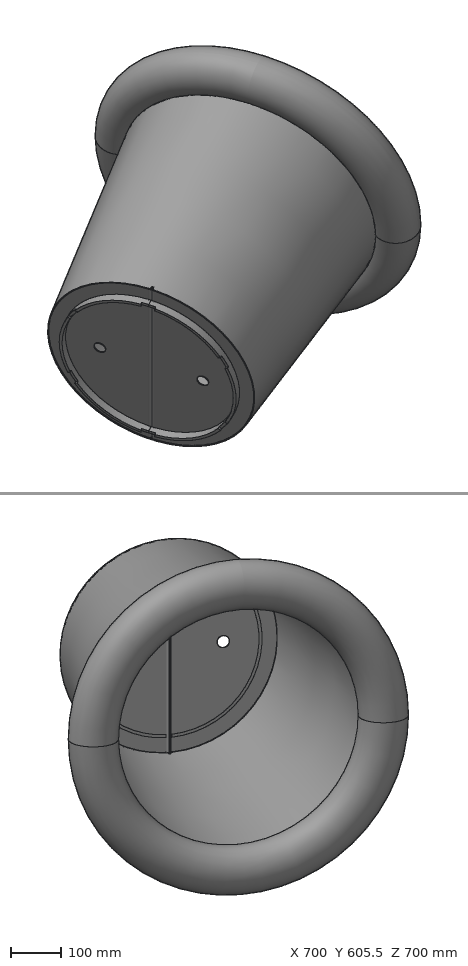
import cadquery as cq
import math

overall_diameter = 700.0
overall_length = 605.5

rim_tube_radius = 50.5
rim_ring_radius = overall_diameter / 2 - rim_tube_radius
rim_center_y = overall_length - rim_tube_radius

foot_height = 17.5
foot_outer_radius = 192.5
foot_thickness = 6.0
foot_inner_radius = foot_outer_radius - foot_thickness
notch_count = 6
notch_width = 30.0
notch_depth = 5.0

sheet = 2.0
base_radius = 225.5
mouth_radius = 280.0
floor_y = foot_height

bend_radius = 6.0
flange_height = 8.5
hole_diameter = 25.0
hole_spacing = 224.0

radial_plane = cq.Plane(origin=(0, 0, 0), xDir=(0, 0, 1), normal=(-1, 0, 0))


def turned(points):
    """Solid turned about the Y axis from a closed outline of (radius, y) points."""
    profile = cq.Workplane(radial_plane).polyline(points).close()
    return profile.revolve(360, (0, 0, 0), (0, 1, 0))


def make_wall():
    """Tapered sheet, open at both ends."""
    return turned([
        (base_radius - sheet, floor_y),
        (base_radius, floor_y),
        (mouth_radius, rim_center_y),
        (mouth_radius - sheet, rim_center_y),
    ])


def wall_interior():
    """Tapered plug that fills the space inside the wall."""
    return turned([
        (0, floor_y),
        (base_radius - sheet, floor_y),
        (mouth_radius - sheet, rim_center_y),
        (0, rim_center_y),
    ])


def floor_sheet(side):
    """Half floor with its straight edge bent up against the plane X = 0."""
    inner_radius = bend_radius - sheet
    bend_y = floor_y + bend_radius
    diagonal = math.sqrt(0.5)
    outer_middle = (side * bend_radius * (1 - diagonal), bend_y - bend_radius * diagonal)
    inner_middle = (side * (bend_radius - inner_radius * diagonal), bend_y - inner_radius * diagonal)
    bent_section = (
        cq.Workplane("XY")
        .moveTo(side * base_radius, floor_y)
        .lineTo(side * bend_radius, floor_y)
        .threePointArc(outer_middle, (0, bend_y))
        .lineTo(0, floor_y + flange_height)
        .lineTo(side * sheet, floor_y + flange_height)
        .lineTo(side * sheet, bend_y)
        .threePointArc(inner_middle, (side * bend_radius, floor_y + sheet))
        .lineTo(side * base_radius, floor_y + sheet)
        .close()
    )
    drain_hole = (
        cq.Workplane("XZ", origin=(side * hole_spacing / 2, 0, 0))
        .circle(hole_diameter / 2)
        .extrude(-overall_length)
    )
    return bent_section.extrude(base_radius, both=True).intersect(wall_interior()).cut(drain_hole)


def foot_ring():
    """Full foot ring with evenly spaced notches in its lower face, two of them on X = 0."""
    ring = turned([
        (foot_inner_radius, 0),
        (foot_outer_radius, 0),
        (foot_outer_radius, foot_height),
        (foot_inner_radius, foot_height),
    ])
    notch = (
        cq.Workplane("XY")
        .box(notch_width, notch_depth, 4 * foot_thickness, centered=(True, False, True))
        .translate((0, 0, foot_outer_radius))
    )
    for index in range(notch_count):
        ring = ring.cut(notch.rotate((0, 0, 0), (0, 1, 0), index * 360 / notch_count))
    return ring


def make_floor_half(side):
    """Floor half at -X (side -1) or +X (side 1), with its half of the foot."""
    half_space = (
        cq.Workplane("XY")
        .box(overall_diameter, overall_diameter, overall_diameter)
        .translate((side * overall_diameter / 2, 0, 0))
    )
    return floor_sheet(side).union(foot_ring().intersect(half_space))


def make_rim_half(side, wall):
    """Rim half at -Z (side -1) or +Z (side 1), slotted to take the end of the wall."""
    ring = (
        cq.Workplane(radial_plane)
        .center(rim_ring_radius, rim_center_y)
        .circle(rim_tube_radius)
        .revolve(360, (-rim_ring_radius, 0, 0), (-rim_ring_radius, 1, 0))
    )
    half_space = (
        cq.Workplane("XY")
        .box(2 * overall_diameter, 2 * overall_diameter, overall_diameter)
        .translate((0, 0, side * overall_diameter / 2))
    )
    return ring.intersect(half_space).cut(wall)


wall = make_wall()
floor_halves = [make_floor_half(side) for side in (-1, 1)]
rim_halves = [make_rim_half(side, wall) for side in (-1, 1)]

result = cq.Compound.makeCompound([
    wall.val(),
    *[half.val() for half in floor_halves],
    *[half.val() for half in rim_halves],
])